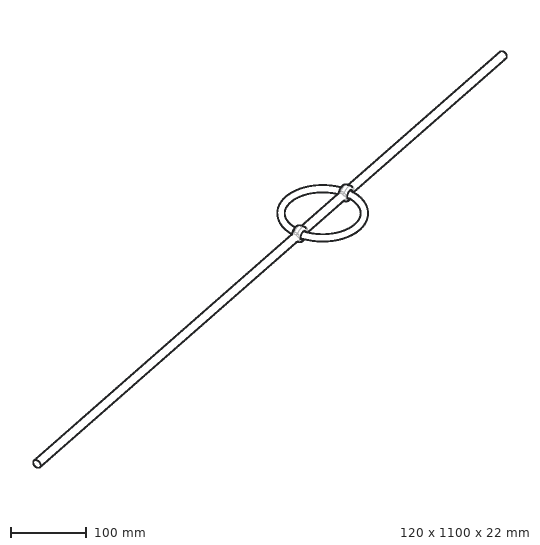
import cadquery as cq

rod_length = 1100.0
rod_diameter = 12.0
rod_far_end = 426.0

ring_outer_diameter = 120.0
ring_wire_diameter = 10.0
ring_radius = (ring_outer_diameter - ring_wire_diameter) / 2

eye_diameter = 22.0
eye_thickness = rod_diameter
eye_rim_fillet = 3.0
eye_bore_diameter = 12.0
eye_junction_fillet = 3.0


def make_ring():
    """Closed round-wire ring around the Z axis."""
    return cq.Workplane(cq.Solid.makeTorus(ring_radius, ring_wire_diameter / 2))


def make_disc(y, diameter):
    """Disc as thick as an eye, with its axis along X."""
    return (
        cq.Workplane("YZ")
        .center(y, 0)
        .circle(diameter / 2)
        .extrude(eye_thickness / 2, both=True)
    )


def add_eye(rod, y):
    """Join a rounded disc to the rod, blend the junction and bore the disc."""
    rod = rod.union(make_disc(y, eye_diameter).edges().fillet(eye_rim_fillet))
    near_eye = cq.selectors.BoxSelector(
        (-eye_diameter, y - eye_diameter, -eye_diameter),
        (eye_diameter, y + eye_diameter, eye_diameter),
    )
    rod = rod.edges(near_eye).edges("%BSPLINE").fillet(eye_junction_fillet)
    return rod.cut(make_disc(y, eye_bore_diameter))


def make_rod():
    """Straight rod with an eye at each crossing of the ring."""
    rod = (
        cq.Workplane("XZ", origin=(0, rod_far_end, 0))
        .circle(rod_diameter / 2)
        .extrude(rod_length)
    )
    for y in (-ring_radius, ring_radius):
        rod = add_eye(rod, y)
    return rod.solids()


ring = make_ring()
rod = make_rod()

result = cq.Compound.makeCompound([rod.val(), ring.val()])